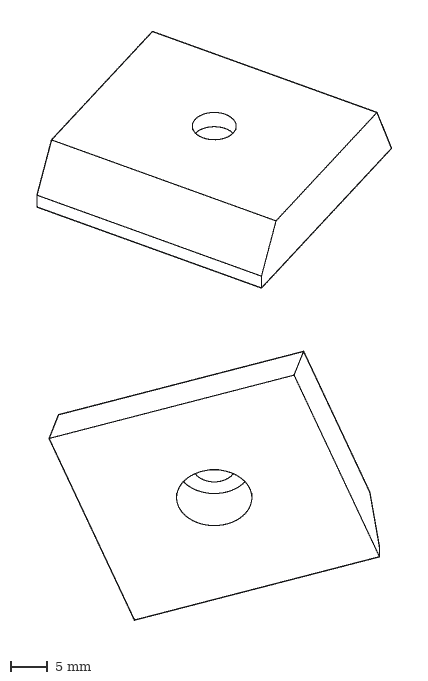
import cadquery as cq

length = 35.5
width = 35.5
height = 9.0

slope_run = 3.98
lip_height = 2.1

hole_diameter = 6.0
recess_diameter = 10.3
hole_depth = 2.5
recess_depth = height - hole_depth


def make_block():
    """Extrude the YZ profile along X, with a vertical lip on the -Y side only."""
    front = -width / 2
    back = width / 2
    profile = [
        (front, 0),
        (back, 0),
        (back - slope_run, height),
        (front + slope_run, height),
        (front, lip_height),
    ]
    return cq.Workplane("YZ").polyline(profile).close().extrude(length / 2, both=True)


def make_stepped_hole():
    """Through hole widened by a round recess that opens at the bottom."""
    hole = cq.Workplane("XY").circle(hole_diameter / 2).extrude(height)
    recess = cq.Workplane("XY").circle(recess_diameter / 2).extrude(recess_depth)
    return hole.union(recess)


result = make_block().cut(make_stepped_hole())